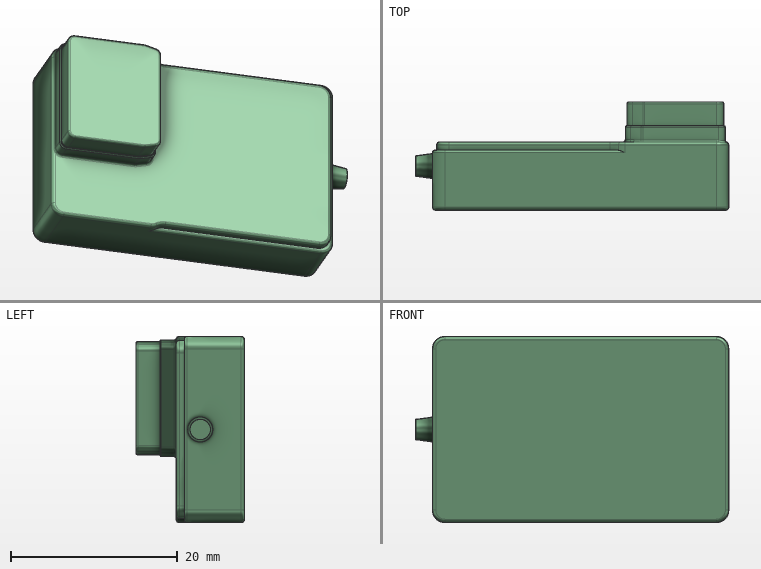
import cadquery as cq
import math

case_length = 35.5
case_height = 22.3
case_corner_radius = 1.5
front_edge_radius = 0.4
back_edge_radius = 0.4
shoulder_y = 7.2
shoulder_edge_radius = 0.3
case_back_y = 8.2

lid_inset = 0.5
lid_corner_radius = 1.5
lid_root_y = shoulder_y / 2
flush_start_x = 23.07
concave_radius = 2.0
convex_radius = 1.5

plug_left_x = 23.1
plug_bottom_z = 7.9
plug_length = 12.0
plug_height = 14.0
slant_run = 2.0
slant_drop = 0.5
plug_corner_radius = 0.85
flange_back_y = 10.15
cap_inset = 0.2
cap_back_y = 13.0
cap_edge_radius = 0.25
flange_edge_chamfer = 0.15
flange_foot_radius = 0.25

pin_length = 2.0
pin_base_diameter = 3.0
pin_tip_diameter = 2.45
pin_y = 5.3
pin_z = case_height / 2


def plane_at(y):
    """Sketch plane parallel to XZ; a negative extrusion grows toward +Y."""
    return cq.Workplane("XZ", origin=(0, y, 0))


def make_base():
    """Rounded box up to the shoulder."""
    return (
        plane_at(0)
        .rect(case_length, case_height, centered=False)
        .extrude(-shoulder_y)
        .edges("|Y")
        .fillet(case_corner_radius)
        .faces("<Y")
        .edges()
        .fillet(front_edge_radius)
        .faces(">Y")
        .edges()
        .fillet(shoulder_edge_radius)
    )


def make_lid():
    """Raised lid whose long sides swell out to the case sides through S-curves."""
    sweep = math.acos(1 - lid_inset / (concave_radius + convex_radius))
    bend_x = flush_start_x - convex_radius * math.sin(sweep)
    bend_depth = convex_radius * (1 - math.cos(sweep))
    start_x = bend_x - concave_radius * math.sin(sweep)
    convex_mid_x = flush_start_x - convex_radius * math.sin(sweep / 2)
    convex_mid_depth = convex_radius * (1 - math.cos(sweep / 2))
    concave_mid_x = start_x + concave_radius * math.sin(sweep / 2)
    concave_mid_depth = lid_inset - concave_radius * (1 - math.cos(sweep / 2))
    top = case_height

    lid = (
        plane_at(lid_root_y)
        .moveTo(lid_inset, lid_inset)
        .lineTo(start_x, lid_inset)
        .threePointArc((concave_mid_x, concave_mid_depth), (bend_x, bend_depth))
        .threePointArc((convex_mid_x, convex_mid_depth), (flush_start_x, 0))
        .lineTo(case_length, 0)
        .lineTo(case_length, top)
        .lineTo(flush_start_x, top)
        .threePointArc((convex_mid_x, top - convex_mid_depth), (bend_x, top - bend_depth))
        .threePointArc((concave_mid_x, top - concave_mid_depth), (start_x, top - lid_inset))
        .lineTo(lid_inset, top - lid_inset)
        .close()
        .extrude(-(case_back_y - lid_root_y))
    )
    lid = lid.edges("|Y and <X").fillet(lid_corner_radius)
    lid = lid.edges("|Y and >X").fillet(case_corner_radius)
    return lid.faces(">Y").edges().fillet(back_edge_radius)


def make_plug_block(inset, start_y, end_y):
    """Prism with the plug outline, shrunk by inset on every side."""
    left = plug_left_x + inset
    right = plug_left_x + plug_length - inset
    bottom = plug_bottom_z + inset
    top = plug_bottom_z + plug_height - inset
    outline = [
        (left, bottom + slant_drop),
        (left + slant_run, bottom),
        (right, bottom),
        (right, top),
        (left + slant_run, top),
        (left, top - slant_drop),
    ]
    block = plane_at(start_y).polyline(outline).close().extrude(-(end_y - start_y))
    return block.edges("|Y").fillet(plug_corner_radius)


def add_plug(case):
    """Flange blended into the case back, with the cap on top of it."""
    flange = make_plug_block(0, shoulder_y, flange_back_y)
    flange = flange.faces(">Y").edges().chamfer(flange_edge_chamfer)
    cap = make_plug_block(cap_inset, shoulder_y, cap_back_y)
    cap = cap.faces(">Y").edges().fillet(cap_edge_radius)
    body = case.union(flange)
    margin = 0.05
    foot = cq.selectors.BoxSelector(
        (plug_left_x - margin, case_back_y - back_edge_radius, plug_bottom_z - margin),
        (
            plug_left_x + plug_length + margin,
            case_back_y + margin,
            plug_bottom_z + plug_height + margin,
        ),
        boundingbox=True,
    )
    body = body.edges(foot).fillet(flange_foot_radius)
    return body.union(cap)


def make_pin():
    """Tapered pin pointing toward -X."""
    return (
        cq.Workplane("YZ", origin=(-pin_length, pin_y, pin_z))
        .circle(pin_tip_diameter / 2)
        .workplane(offset=pin_length)
        .circle(pin_base_diameter / 2)
        .loft(ruled=True)
    )


case = make_base().union(make_lid())
result = add_plug(case).union(make_pin())